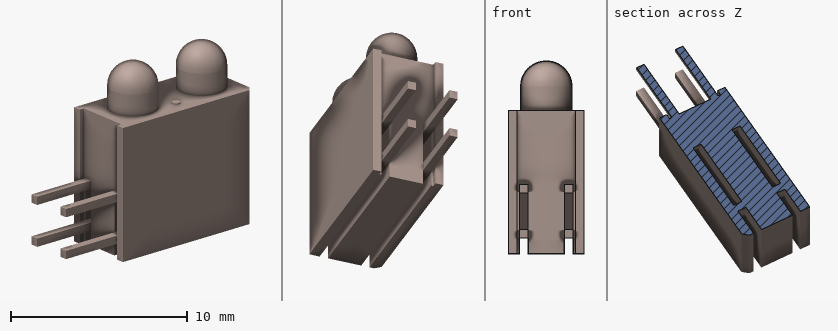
import cadquery as cq

body_width = 4.3
body_depth = 9.65
body_height = 8.13
flange_width = 0.5
front_recess = 0.31
chamfer_x = 0.34
chamfer_y = 0.3

lamp_pitch = 5.08
lamp_radius = 1.46
lamp_total_height = 2.8
back_lamp_inset = 2.03

lead_size = 0.5
lead_pitch = 2.54
lead_overhang = 3.68
lower_lead_z = 1.15

peg_radius = 0.25
peg_height = 0.1
peg_x = 1.09

front_y = -body_depth / 2
back_y = body_depth / 2
back_lamp_y = back_y - back_lamp_inset
front_lamp_y = back_lamp_y - lamp_pitch
upper_lead_z = lower_lead_z + lead_pitch
slot_height = upper_lead_z + lead_size / 2
lead_columns = (-lead_pitch / 2, lead_pitch / 2)


def box_from(x_center, y_min, z_min, width, depth, height):
    """Box centred in X that grows from y_min and z_min."""
    box = cq.Workplane("XY").box(width, depth, height, centered=(True, False, False))
    return box.translate((x_center, y_min, z_min))


def make_housing():
    """Housing with front recess, corner chamfer and two lead slots open underneath."""
    half_width = body_width / 2
    recess_half_width = half_width - flange_width
    recess_y = front_y + front_recess
    outline = [
        (-half_width, front_y),
        (-recess_half_width, front_y),
        (-recess_half_width, recess_y),
        (recess_half_width, recess_y),
        (recess_half_width, front_y),
        (half_width, front_y),
        (half_width, back_y - chamfer_y),
        (half_width - chamfer_x, back_y),
        (-half_width, back_y),
    ]
    housing = cq.Workplane("XY").polyline(outline).close().extrude(body_height)
    for x in lead_columns:
        housing = housing.cut(box_from(x, front_y, 0, lead_size, body_depth, slot_height))
    return housing


def make_lamp(y):
    """Cylinder topped by a hemisphere, standing on the housing."""
    straight_height = lamp_total_height - lamp_radius
    dome_z = body_height + straight_height
    lamp = cq.Workplane("XY").workplane(offset=body_height).center(0, y)
    lamp = lamp.circle(lamp_radius).extrude(straight_height)
    dome = cq.Workplane("XY").sphere(lamp_radius, angle1=0).translate((0, y, dome_z))
    return lamp.union(dome)


def make_lead(x, lamp_y, pin_z):
    """Lead dropping from under a lamp to pin_z, then bent straight out of the front."""
    pin_bottom = pin_z - lead_size / 2
    tip_y = front_y - lead_overhang
    post_y = lamp_y - lead_size / 2
    pin_length = lamp_y + lead_size / 2 - tip_y
    pin = box_from(x, tip_y, pin_bottom, lead_size, pin_length, lead_size)
    post = box_from(x, post_y, pin_bottom, lead_size, lead_size, body_height - pin_bottom)
    return pin.union(post)


def make_peg():
    """Small round peg between the lamps, off to the right."""
    peg = cq.Workplane("XY").workplane(offset=body_height).center(peg_x, 0)
    return peg.circle(peg_radius).extrude(peg_height)


result = make_housing().union(make_peg())
for lamp_y, pin_z in ((front_lamp_y, upper_lead_z), (back_lamp_y, lower_lead_z)):
    result = result.union(make_lamp(lamp_y))
    for x in lead_columns:
        result = result.union(make_lead(x, lamp_y, pin_z))